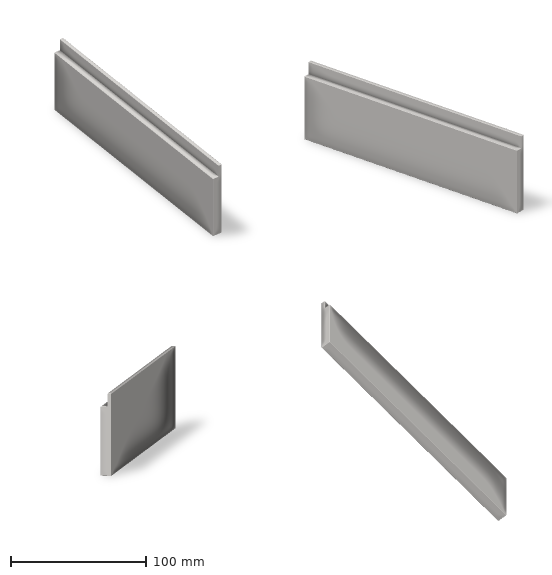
import cadquery as cq

length = 200.0
thickness = 8.0
height = 62.0
tongue_thickness = 3.0
tongue_height = 10.0
edge_break = 0.2

shoulder_height = height - tongue_height
tongue_front = thickness - tongue_thickness


def stepped_board():
    """Thick board with a thin tongue along its rear top edge."""
    profile = [
        (0, 0),
        (thickness, 0),
        (thickness, height),
        (tongue_front, height),
        (tongue_front, shoulder_height),
        (0, shoulder_height),
    ]
    return cq.Workplane("YZ").polyline(profile).close().extrude(length)


front_rear_top_bottom = "|X and (<Y or >Y or <Z or >Z)"
ends = "|Y or |Z"
result = stepped_board().edges(f"({front_rear_top_bottom}) or {ends}").chamfer(edge_break)